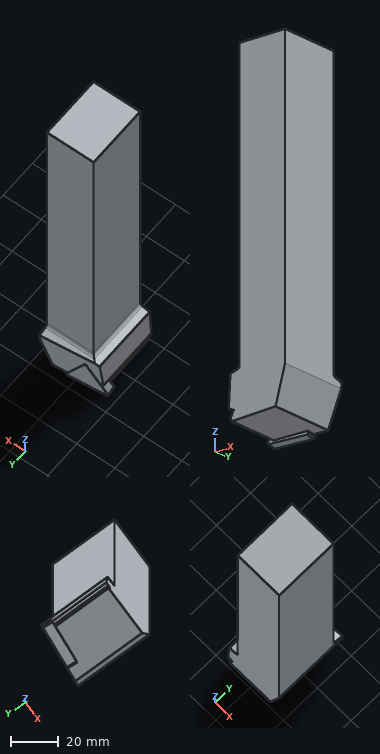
import cadquery as cq
import math

top_z = 171.4
shank_width = 24.7
shank_depth = 32.0

ledge_z = 23.5
ledge_reach = 5.0
ledge_slope = math.tan(math.radians(15))
root_radius = 1.7
ledge_root_z = ledge_z + ledge_reach * ledge_slope
head_bottom_z = 2.4
relief_start_z = 20.5
relief_end_x = 19.5

left_face_foot = (-5.8, 7.9)
notch_corner = (-3.3, 6.7)
notch_foot = (-5.0, 3.3)
underside_left = (-4.3, 1.7)

back_x_slope = 0.097
back_z_slope = 0.1
back_top_y = 37.4
back_top_z = ledge_root_z - (back_top_y - shank_depth) * ledge_slope
blank_depth = 42.8
trim_size = 171.4

insert_side = 22.0
insert_thickness = 4.8
insert_left_x = -7.7
tip_cut = 1.2


def back_y(x, z):
    """Depth of the leaning back face at a given X and Z."""
    return back_top_y + back_x_slope * (x - shank_width) + back_z_slope * (z - back_top_z)


def make_insert():
    """Triangular plate with its three tips cut off square to the bisectors."""
    corner_x = insert_left_x - tip_cut / 2
    back_plane = cq.Plane(
        origin=(corner_x, back_y(corner_x, 0), 0),
        xDir=(1, back_x_slope, 0),
        normal=(back_x_slope, -1, back_z_slope),
    )
    corners = [
        cq.Vector(0, 0),
        cq.Vector(insert_side, 0),
        cq.Vector(insert_side / 2, insert_side * math.sqrt(3) / 2),
    ]
    cut_share = tip_cut / insert_side
    outline = []
    for index, corner in enumerate(corners):
        before = corners[index - 1]
        after = corners[(index + 1) % len(corners)]
        for neighbour in (before, after):
            point = corner + (neighbour - corner) * cut_share
            outline.append((point.x, point.y))
    return cq.Workplane(back_plane).polyline(outline).close().extrude(insert_thickness)


def make_shank():
    return cq.Workplane("XY").workplane(offset=ledge_root_z).rect(
        shank_width, shank_depth, centered=False
    ).extrude(top_z - ledge_root_z)


def make_head_blank():
    """Head outline in XZ, drawn deeper than the finished head."""
    outline = [
        (0, ledge_root_z),
        (-ledge_reach, ledge_z),
        left_face_foot,
        notch_corner,
        notch_foot,
        underside_left,
        (relief_end_x, head_bottom_z),
        (shank_width, relief_start_z),
        (shank_width, ledge_root_z),
    ]
    return cq.Workplane("XZ").polyline(outline).close().extrude(-blank_depth)


def make_back_trim():
    """Half-space block behind the leaning back face."""
    back_plane = cq.Plane(
        origin=(shank_width, back_top_y, back_top_z),
        xDir=(1, back_x_slope, 0),
        normal=(-back_x_slope, 1, -back_z_slope),
    )
    return cq.Workplane(back_plane).rect(trim_size, trim_size).extrude(trim_size)


def make_shoulder_trim():
    """Wedge that slopes the top of the head down behind the shank."""
    outline = [
        (shank_depth, ledge_root_z),
        (blank_depth, ledge_root_z),
        (blank_depth, ledge_root_z - (blank_depth - shank_depth) * ledge_slope),
    ]
    return (
        cq.Workplane("YZ").workplane(offset=-ledge_reach)
        .polyline(outline).close().extrude(ledge_reach + shank_width)
    )


def make_holder(insert):
    head = make_head_blank().cut(make_back_trim()).cut(make_shoulder_trim())
    holder = make_shank().union(head).clean()
    left_root = cq.selectors.NearestToPointSelector((0, shank_depth / 2, ledge_root_z))
    back_root = cq.selectors.NearestToPointSelector((shank_width / 2, shank_depth, ledge_root_z))
    holder = holder.edges(left_root).add(holder.edges(back_root)).fillet(root_radius)
    return holder.cut(insert)


insert = make_insert()
holder = make_holder(insert)

result = cq.Compound.makeCompound([holder.val(), insert.val()])